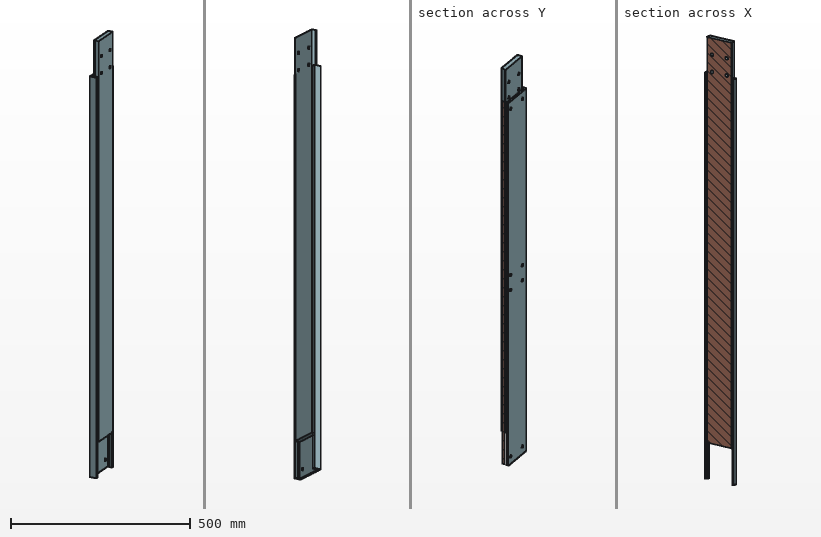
import cadquery as cq

total_height = 1308.0
member_length = 1200.0
outer_width = 100.0
outer_depth = 21.0
protrusion = 3.1
total_depth = outer_depth + protrusion

web_thickness = 7.0
groove_depth = 7.0
groove_width = 86.0
shoulder = web_thickness + groove_depth

back_clearance = 3.0
flange_width = 84.0
bar_width = 82.0

hole_diameter = 8.0
outer_hole_spacing = 60.0
outer_hole_margin = 25.0
inner_hole_spacing = 50.0
inner_hole_margin = 50.0
inner_row_pitch = 51.0

inner_bottom = total_height - member_length


def block(x_start, x_end, width, z_start, length):
    """Upright block centred on Y."""
    return (
        cq.Workplane("XY")
        .box(x_end - x_start, width, length, centered=(False, True, False))
        .translate((x_start, 0, z_start))
    )


def t_section(back, wide_width, z_start):
    """T-section bar: wide part from back to the shoulder, then the bar that fits the lips."""
    wide_part = block(back, shoulder, wide_width, z_start, member_length)
    bar = block(shoulder, total_depth, bar_width, z_start, member_length)
    return wide_part.union(bar)


def drill(body, spacing, row_heights):
    """Drill a pair of through holes along X at every row height."""
    centres = [(side * spacing / 2, z) for z in row_heights for side in (-1, 1)]
    holes = (
        cq.Workplane("YZ")
        .pushPoints(centres)
        .circle(hole_diameter / 2)
        .extrude(total_depth)
    )
    return body.cut(holes)


def make_outer_member():
    """Fixed channel, open towards +X, with its lower end at Z = 0."""
    middle = member_length / 2
    rows = [
        outer_hole_margin,
        middle - outer_hole_margin,
        middle + outer_hole_margin,
        member_length - outer_hole_margin,
    ]
    body = block(0, outer_depth, outer_width, 0, member_length)
    groove = t_section(web_thickness, groove_width, 0)
    return drill(body.cut(groove), outer_hole_spacing, rows)


def make_inner_member():
    """Sliding bar, pulled out past the top of the channel."""
    top_row = total_height - inner_hole_margin
    rows = [top_row, top_row - inner_row_pitch]
    body = t_section(web_thickness + back_clearance, flange_width, inner_bottom)
    return drill(body, inner_hole_spacing, rows)


outer_member = make_outer_member()
inner_member = make_inner_member()

result = cq.Compound.makeCompound([outer_member.val(), inner_member.val()])